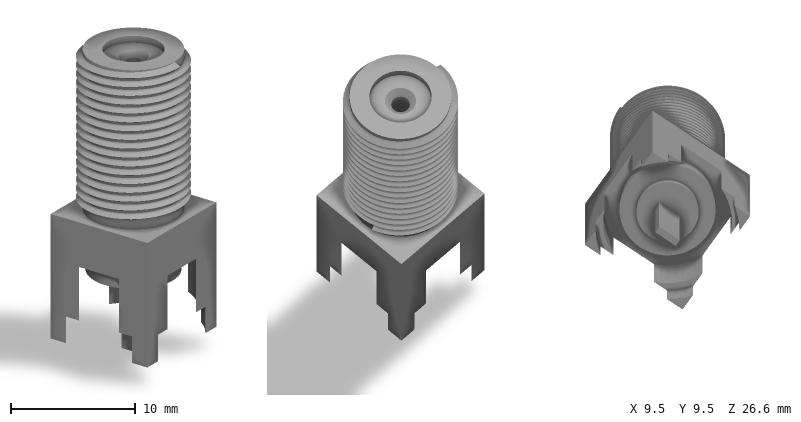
import cadquery as cq
import math

total_height = 26.57
leg_bottom_z = 1.51
foot_top_z = 3.85
rear_insulator_bottom_z = 6.48
collar_bottom_z = 7.15
cavity_top_z = 8.58
block_top_z = 12.51

block_width = 9.5
leg_opening_width = 3.93
foot_opening_width = 6.5
collar_diameter = 7.7

barrel_diameter = 8.15
thread_crest_diameter = 9.25
thread_pitch = 0.779
thread_base_width = 0.53
thread_top_z = 26.25
thread_turns = 16.46
thread_root_overlap = 0.05

bore_diameter = 5.0
front_recess_depth = 0.6
socket_diameter = 1.5
socket_mouth_diameter = 2.5

blade_width = 2.0
blade_thickness = 0.55
blade_top_z = cavity_top_z


def cylinder(diameter, bottom_z, top_z):
    return cq.Workplane("XY", origin=(0, 0, bottom_z)).circle(diameter / 2).extrude(top_z - bottom_z)


def cavity_diameter(opening_width):
    """Diameter of the round cavity that cuts an opening this wide in each block side."""
    return math.hypot(block_width, opening_width)


def make_block():
    block = (
        cq.Workplane("XY", origin=(0, 0, leg_bottom_z))
        .rect(block_width, block_width)
        .extrude(block_top_z - leg_bottom_z)
    )
    leg_cavity = cylinder(cavity_diameter(leg_opening_width), leg_bottom_z, cavity_top_z)
    foot_cavity = cylinder(cavity_diameter(foot_opening_width), leg_bottom_z, foot_top_z)
    collar = cylinder(collar_diameter, collar_bottom_z, block_top_z)
    return block.cut(leg_cavity).cut(foot_cavity).union(collar)


def make_thread():
    """Right-handed V thread whose upper end lies on the +X side."""
    length = thread_turns * thread_pitch
    root_radius = barrel_diameter / 2 - thread_root_overlap
    crest_radius = thread_crest_diameter / 2
    flank_slope = (thread_base_width / 2) / (crest_radius - barrel_diameter / 2)
    root_half_width = flank_slope * (crest_radius - root_radius)
    helix = cq.Wire.makeHelix(thread_pitch, length, root_radius)
    ridge = (
        cq.Workplane("XZ")
        .polyline([(root_radius, -root_half_width), (crest_radius, 0), (root_radius, root_half_width)])
        .close()
        .sweep(cq.Workplane(obj=helix), isFrenet=True)
    )
    return ridge.rotate((0, 0, 0), (0, 0, 1), -360 * thread_turns).translate((0, 0, thread_top_z - length))


def make_housing():
    barrel = cylinder(barrel_diameter, block_top_z, total_height)
    bore = cylinder(bore_diameter, collar_bottom_z, total_height)
    return barrel.union(make_thread()).union(make_block()).cut(bore)


def make_front_insulator():
    """Plug in the barrel with a countersunk socket hole."""
    top_z = total_height - front_recess_depth
    countersink_depth = (socket_mouth_diameter - socket_diameter) / 2
    plug = cylinder(bore_diameter, block_top_z, top_z)
    socket = cylinder(socket_diameter, block_top_z, top_z)
    mouth = (
        cq.Workplane("XY", origin=(0, 0, top_z))
        .circle(socket_mouth_diameter / 2)
        .workplane(offset=-countersink_depth)
        .circle(socket_diameter / 2)
        .loft()
    )
    return plug.cut(socket).cut(mouth)


def make_contact():
    return cq.Workplane("XY").rect(blade_width, blade_thickness).extrude(blade_top_z)


def make_rear_insulator(contact):
    """Plug in the block, slotted from below for the contact blade."""
    return cylinder(bore_diameter, rear_insulator_bottom_z, block_top_z).cut(contact)


housing = make_housing()
front_insulator = make_front_insulator()
contact = make_contact()
rear_insulator = make_rear_insulator(contact)

bodies = [housing, front_insulator, rear_insulator, contact]
result = cq.Compound.makeCompound([body.solids().val() for body in bodies])